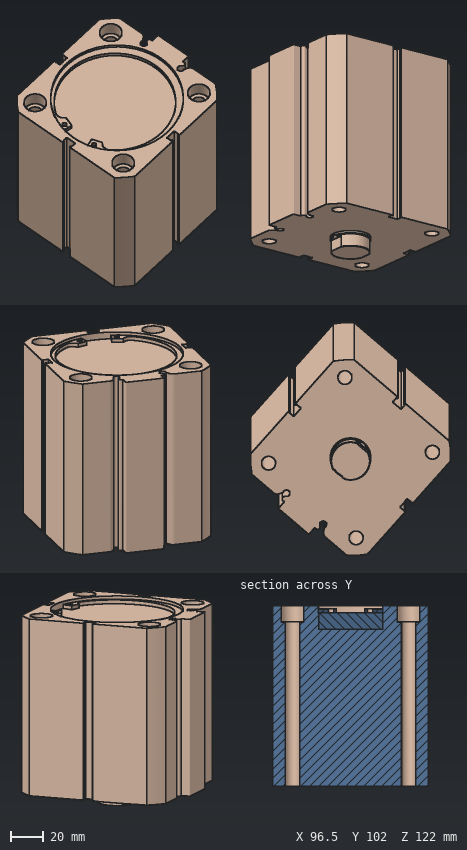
import cadquery as cq
import math

TOTAL_HEIGHT = 122.0
ROD_PROTRUSION = 10.0
BODY_HEIGHT = TOTAL_HEIGHT - ROD_PROTRUSION
BODY_WIDTH = 96.5
BODY_DEPTH_WITH_RAIL = 102.0
HALF_WIDTH = BODY_WIDTH / 2
CORNER_RADIUS = 62.1

RAIL_HALF_WIDTH = 12.6
RAIL_TOP = BODY_DEPTH_WITH_RAIL - HALF_WIDTH
RAIL_EDGE_RADIUS = 0.4
BEAD_HALF_WIDTH = 15.1
BEAD_TOP = 48.1
BEAD_BOTTOM = 45.8
BEAD_RADIUS = 1.5
GROOVE_INNER = 13.0
GROOVE_INNER_TOP = 43.9
GROOVE_OUTER = 17.1
GROOVE_OUTER_TOP = 44.0
GROOVE_FLOOR = 41.0
GROOVE_RADIUS = 1.8
GROOVE_MOUTH = 19.3
GROOVE_MOUTH_RADIUS = 3.4

SLOT_DEPTH = 4.5
SLOT_HALF_WIDTH = 3.4
SLOT_MOUTH_HALF_WIDTH = 2.7
SLOT_LIP = 1.0
SLOT_CHAMFER = 0.4

HOLE_OFFSET = 36.0
HOLE_DIAMETER = 8.7
COUNTERBORE_DIAMETER = 13.8
COUNTERBORE_DEPTH = 10.0

RECESS_RADIUS = 41.1
RING_SINK = 2.0
RING_THICKNESS = 2.5
CAP_THICKNESS = 10.0
RING_TOP = BODY_HEIGHT - RING_SINK
CAP_TOP = RING_TOP - RING_THICKNESS
CAP_BOTTOM = CAP_TOP - CAP_THICKNESS
RING_INNER_RADIUS = 37.7
RING_INNER_SHIFT = 2.0
RING_GAP_ANGLE = math.radians(13.7)
EAR_INNER_X = 8.2
EAR_OUTER_X = 14.8
EAR_OUTER_Y = -31.2
EAR_ROOT_X = 18.7
EAR_ROOT_RADIUS = 4.6
EAR_HOLE_X = 12.1
EAR_HOLE_Y = -35.9
EAR_HOLE_DIAMETER = 2.9

ROD_RADIUS = 12.6
ROD_END_RADIUS = 12.1
SHOULDER_DROP = 1.5
ROD_FLAT_DISTANCE = 11.0
FLAT_HEIGHT = 7.1
ROD_END_CHAMFER = 0.2


def rounded_outline(corners):
    """Closed outline through (x, y, radius) corners; a zero radius leaves the corner sharp."""
    outline = None
    for i, (x, y, radius) in enumerate(corners):
        before = cq.Vector(*corners[i - 1][:2])
        after = cq.Vector(*corners[(i + 1) % len(corners)][:2])
        corner = cq.Vector(x, y)
        to_before = (before - corner).normalized()
        to_after = (after - corner).normalized()
        half_angle = to_before.getAngle(to_after) / 2
        setback = radius / math.tan(half_angle)
        start = corner + to_before * setback
        if outline is None:
            outline = cq.Workplane("XY").moveTo(start.x, start.y)
        else:
            outline = outline.lineTo(start.x, start.y)
        if radius > 0:
            bisector = (to_before + to_after).normalized()
            middle = corner + bisector * (radius / math.sin(half_angle) - radius)
            end = corner + to_after * setback
            outline = outline.threePointArc((middle.x, middle.y), (end.x, end.y))
    return outline.close()


def mirrored(corners):
    """The same corners on the -X side, in reverse order."""
    return [(-x, y, radius) for x, y, radius in reversed(corners)]


def barrel_blank():
    right_half = [
        (HALF_WIDTH, -HALF_WIDTH, 0),
        (HALF_WIDTH, HALF_WIDTH, 0),
        (GROOVE_MOUTH, HALF_WIDTH, GROOVE_MOUTH_RADIUS),
        (GROOVE_OUTER, GROOVE_OUTER_TOP, 0),
        (GROOVE_OUTER, GROOVE_FLOOR, GROOVE_RADIUS),
        (GROOVE_INNER, GROOVE_FLOOR, GROOVE_RADIUS),
        (GROOVE_INNER, GROOVE_INNER_TOP, BEAD_RADIUS),
        (BEAD_HALF_WIDTH, BEAD_BOTTOM, BEAD_RADIUS),
        (BEAD_HALF_WIDTH, BEAD_TOP, BEAD_RADIUS),
        (RAIL_HALF_WIDTH, BEAD_TOP, 0),
        (RAIL_HALF_WIDTH, RAIL_TOP, RAIL_EDGE_RADIUS),
    ]
    extrusion = rounded_outline(right_half + mirrored(right_half)).extrude(BODY_HEIGHT)
    return extrusion.intersect(cq.Workplane("XY").circle(CORNER_RADIUS).extrude(BODY_HEIGHT))


def side_slot(angle):
    """Lipped slot along Z, cut into the -Y side and then turned about the barrel axis."""
    right_half = [
        (SLOT_MOUTH_HALF_WIDTH + SLOT_CHAMFER, -HALF_WIDTH),
        (SLOT_MOUTH_HALF_WIDTH, -HALF_WIDTH + SLOT_CHAMFER),
        (SLOT_MOUTH_HALF_WIDTH, -HALF_WIDTH + SLOT_LIP),
        (SLOT_HALF_WIDTH, -HALF_WIDTH + SLOT_LIP),
        (SLOT_HALF_WIDTH, -HALF_WIDTH + SLOT_DEPTH),
    ]
    left_half = [(-x, y) for x, y in reversed(right_half)]
    slot = cq.Workplane("XY").polyline(right_half + left_half).close().extrude(BODY_HEIGHT)
    return slot.rotate((0, 0, 0), (0, 0, 1), angle)


def make_barrel():
    barrel = barrel_blank()
    for angle in (-90, 0, 90):
        barrel = barrel.cut(side_slot(angle))
    barrel = (
        barrel.faces(">Z").workplane(origin=(0, 0, BODY_HEIGHT))
        .rect(2 * HOLE_OFFSET, 2 * HOLE_OFFSET, forConstruction=True).vertices()
        .cboreHole(HOLE_DIAMETER, COUNTERBORE_DIAMETER, COUNTERBORE_DEPTH)
    )
    recess = cq.Workplane("XY", origin=(0, 0, CAP_BOTTOM)).circle(RECESS_RADIUS)
    rod_hole = cq.Workplane("XY").circle(ROD_RADIUS)
    return barrel.cut(recess.extrude(BODY_HEIGHT - CAP_BOTTOM)).cut(rod_hole.extrude(CAP_BOTTOM))


def make_end_cap():
    return cq.Workplane("XY", origin=(0, 0, CAP_BOTTOM)).circle(RECESS_RADIUS).extrude(CAP_THICKNESS)


def make_retaining_ring():
    gap_slope = 1 / math.tan(RING_GAP_ANGLE)
    root_y = -RING_INNER_SHIFT - math.sqrt(RING_INNER_RADIUS**2 - EAR_ROOT_X**2)
    ear_inner_y = -EAR_INNER_X * gap_slope
    gap_x = RECESS_RADIUS * math.sin(RING_GAP_ANGLE)
    gap_y = -RECESS_RADIUS * math.cos(RING_GAP_ANGLE)
    outline = (
        cq.Workplane("XY")
        .moveTo(gap_x, gap_y)
        .threePointArc((0, RECESS_RADIUS), (-gap_x, gap_y))
        .lineTo(-EAR_INNER_X, ear_inner_y)
        .lineTo(-EAR_OUTER_X, EAR_OUTER_Y)
        .lineTo(-EAR_ROOT_X, root_y)
        .threePointArc((0, RING_INNER_RADIUS - RING_INNER_SHIFT), (EAR_ROOT_X, root_y))
        .lineTo(EAR_OUTER_X, EAR_OUTER_Y)
        .lineTo(EAR_INNER_X, ear_inner_y)
        .close()
    )
    ring = outline.extrude(RING_THICKNESS)
    for side in (-1, 1):
        root = cq.selectors.NearestToPointSelector((side * EAR_ROOT_X, root_y, RING_THICKNESS / 2))
        ring = ring.edges("|Z").edges(root).fillet(EAR_ROOT_RADIUS)
    holes = (
        cq.Workplane("XY")
        .pushPoints([(-EAR_HOLE_X, EAR_HOLE_Y), (EAR_HOLE_X, EAR_HOLE_Y)])
        .circle(EAR_HOLE_DIAMETER / 2).extrude(RING_THICKNESS)
    )
    return ring.cut(holes).translate((0, 0, CAP_TOP))


def make_rod():
    shoulder_chamfer = ROD_RADIUS - ROD_END_RADIUS
    half_section = [
        (0, CAP_BOTTOM),
        (ROD_RADIUS, CAP_BOTTOM),
        (ROD_RADIUS, -SHOULDER_DROP),
        (ROD_END_RADIUS, -SHOULDER_DROP - shoulder_chamfer),
        (ROD_END_RADIUS, -ROD_PROTRUSION + ROD_END_CHAMFER),
        (ROD_END_RADIUS - ROD_END_CHAMFER, -ROD_PROTRUSION),
        (0, -ROD_PROTRUSION),
    ]
    rod = cq.Workplane("XZ").polyline(half_section).close().revolve(360, (0, 0), (0, 1))

    flat_top = -ROD_PROTRUSION + FLAT_HEIGHT
    cut_depth = ROD_RADIUS - ROD_FLAT_DISTANCE
    flat_section = [
        (ROD_FLAT_DISTANCE, -ROD_PROTRUSION),
        (ROD_FLAT_DISTANCE, flat_top),
        (ROD_RADIUS, flat_top + cut_depth),
        (ROD_RADIUS, -ROD_PROTRUSION),
    ]
    flat = cq.Workplane("YZ").polyline(flat_section).close().extrude(ROD_RADIUS, both=True)
    return rod.cut(flat).cut(flat.mirror("XZ"))


barrel = make_barrel()
end_cap = make_end_cap()
retaining_ring = make_retaining_ring()
rod = make_rod()

result = cq.Compound.makeCompound([barrel.val(), end_cap.val(), retaining_ring.val(), rod.val()])